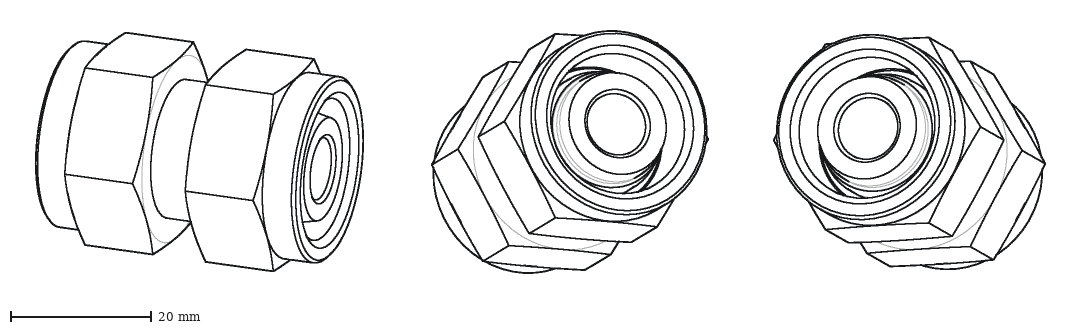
import cadquery as cq
import math


LENGTH = 40.0
HALF_LENGTH = LENGTH / 2
NUT_GAP = 7.0
COLLAR_LENGTH = 4.95
NUT_INNER_X = NUT_GAP / 2
HEX_OUTER_X = HALF_LENGTH - COLLAR_LENGTH
HEX_LENGTH = HEX_OUTER_X - NUT_INNER_X

ACROSS_FLATS = 27.0
ACROSS_CORNERS = ACROSS_FLATS / math.cos(math.radians(30))
CORNER_RADIUS = ACROSS_CORNERS / 2
COLLAR_RADIUS = 13.45
COLLAR_CHAMFER = 0.5
HEX_CHAMFER_ANGLE = 15.0
HEX_FACE_RADIUS = ACROSS_FLATS / 2
HEX_CHAMFER_LENGTH = (CORNER_RADIUS - HEX_FACE_RADIUS) * math.tan(math.radians(HEX_CHAMFER_ANGLE))

SOCKET_RADIUS = 10.25
SOCKET_CHAMFER = 1.0
SOCKET_DEPTH = 10.0
SHOULDER_X = HALF_LENGTH - SOCKET_DEPTH

BARREL_RADIUS = 10.0
BORE_RADIUS = 4.5
BORE_CHAMFER = 0.5
SPIGOT_RECESS = 1.0
SPIGOT_END_X = HALF_LENGTH - SPIGOT_RECESS
CONE_ANGLE = 12.0
TIP_RADIUS = 7.45
TIP_BASE_RADIUS = 7.95
NECK_LENGTH = 1.2
STEP_FILLET = 0.4
STEP_RADIUS = 8.5
SEAT_RADIUS = 9.0


def cone_length(small_radius, large_radius):
    """Axial length of a spigot cone between two radii."""
    return (large_radius - small_radius) / math.tan(math.radians(CONE_ANGLE))


def turned(profile):
    """Solid of revolution about X from (x, radius) points."""
    outline = cq.Workplane("XY").polyline(profile).close()
    return outline.revolve(360, (0, 0, 0), (1, 0, 0))


def make_spigot():
    """Solid spigot on the +X end: tapered tip, short neck, filleted step, tapered seat and plain root."""
    tip_base_x = SPIGOT_END_X - cone_length(TIP_RADIUS, TIP_BASE_RADIUS)
    fillet_x = tip_base_x - NECK_LENGTH
    step_x = fillet_x - STEP_FILLET
    seat_x = step_x - cone_length(STEP_RADIUS, SEAT_RADIUS)
    fillet_top_radius = TIP_BASE_RADIUS + STEP_FILLET
    fillet_inset = STEP_FILLET * math.sin(math.radians(45))
    fillet_middle = (fillet_x - fillet_inset, fillet_top_radius - fillet_inset)
    return (
        cq.Workplane("XY")
        .moveTo(SHOULDER_X, 0)
        .lineTo(SPIGOT_END_X, 0)
        .lineTo(SPIGOT_END_X, TIP_RADIUS)
        .lineTo(tip_base_x, TIP_BASE_RADIUS)
        .lineTo(fillet_x, TIP_BASE_RADIUS)
        .threePointArc(fillet_middle, (step_x, fillet_top_radius))
        .lineTo(step_x, STEP_RADIUS)
        .lineTo(seat_x, SEAT_RADIUS)
        .lineTo(SHOULDER_X, SEAT_RADIUS)
        .close()
        .revolve(360, (0, 0, 0), (1, 0, 0))
    )


def make_bore():
    """Through bore, widened by a chamfer at both ends."""
    return turned([
        (-SPIGOT_END_X, 0),
        (-SPIGOT_END_X, BORE_RADIUS + BORE_CHAMFER),
        (-SPIGOT_END_X + BORE_CHAMFER, BORE_RADIUS),
        (SPIGOT_END_X - BORE_CHAMFER, BORE_RADIUS),
        (SPIGOT_END_X, BORE_RADIUS + BORE_CHAMFER),
        (SPIGOT_END_X, 0),
    ])


def make_connector():
    """Barrel with a spigot at each end and a bore right through."""
    barrel = cq.Workplane("YZ", origin=(-SHOULDER_X, 0, 0)).circle(BARREL_RADIUS).extrude(2 * SHOULDER_X)
    spigot = make_spigot()
    return barrel.union(spigot).union(spigot.mirror("YZ")).cut(make_bore())


def make_hex_prism():
    """Hexagon with flats facing up and down, its corners chamfered at both ends."""
    prism = cq.Workplane("YZ", origin=(NUT_INNER_X, 0, 0)).polygon(6, ACROSS_CORNERS).extrude(HEX_LENGTH)
    envelope = turned([
        (NUT_INNER_X, 0),
        (NUT_INNER_X, HEX_FACE_RADIUS),
        (NUT_INNER_X + HEX_CHAMFER_LENGTH, CORNER_RADIUS),
        (HEX_OUTER_X - HEX_CHAMFER_LENGTH, CORNER_RADIUS),
        (HEX_OUTER_X, HEX_FACE_RADIUS),
        (HEX_OUTER_X, 0),
    ])
    return prism.intersect(envelope)


def make_nut():
    """Nut on the +X end: hexagon, round collar and stepped socket."""
    collar = turned([
        (NUT_INNER_X, 0),
        (NUT_INNER_X, COLLAR_RADIUS),
        (HALF_LENGTH - COLLAR_CHAMFER, COLLAR_RADIUS),
        (HALF_LENGTH, COLLAR_RADIUS - COLLAR_CHAMFER),
        (HALF_LENGTH, 0),
    ])
    socket = turned([
        (NUT_INNER_X, 0),
        (NUT_INNER_X, BARREL_RADIUS),
        (SHOULDER_X, BARREL_RADIUS),
        (SHOULDER_X, SOCKET_RADIUS),
        (HALF_LENGTH - SOCKET_CHAMFER, SOCKET_RADIUS),
        (HALF_LENGTH, SOCKET_RADIUS + SOCKET_CHAMFER),
        (HALF_LENGTH, 0),
    ])
    return make_hex_prism().union(collar).cut(socket)


connector = make_connector()

nuts = [make_nut().rotate((0, 0, 0), (0, 0, 1), turn) for turn in (0, 180)]

result = cq.Compound.makeCompound([connector.val(), *[nut.val() for nut in nuts]])